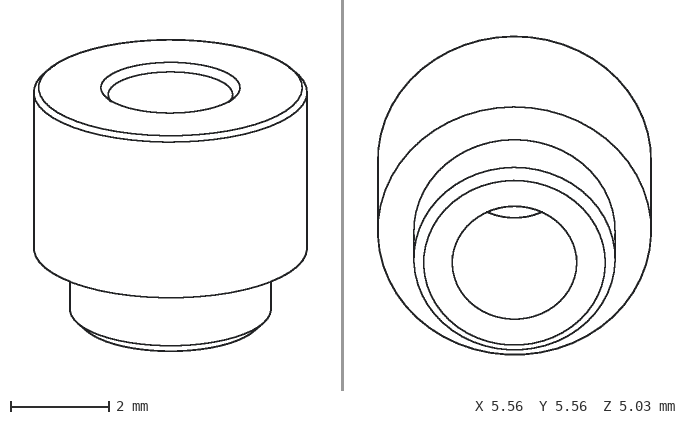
import cadquery as cq

head_diameter = 5.56
spigot_diameter = 4.09
bore_diameter = 2.53
total_height = 5.03
spigot_height = 1.535
head_height = total_height - spigot_height

head_chamfer = 0.1
spigot_chamfer = 0.2
bore_chamfer = 0.15

spigot = (
    cq.Workplane("XY")
    .circle(spigot_diameter / 2)
    .extrude(spigot_height)
    .faces("<Z")
    .chamfer(spigot_chamfer)
)

head = (
    cq.Workplane("XY")
    .workplane(offset=spigot_height)
    .circle(head_diameter / 2)
    .extrude(head_height)
    .faces(">Z")
    .chamfer(head_chamfer)
)

bore = cq.Workplane("XY").circle(bore_diameter / 2).extrude(total_height)
countersink = (
    cq.Workplane("XY")
    .workplane(offset=total_height)
    .circle(bore_diameter / 2 + bore_chamfer)
    .workplane(offset=-bore_chamfer)
    .circle(bore_diameter / 2)
    .loft()
)

result = spigot.union(head).cut(bore).cut(countersink)